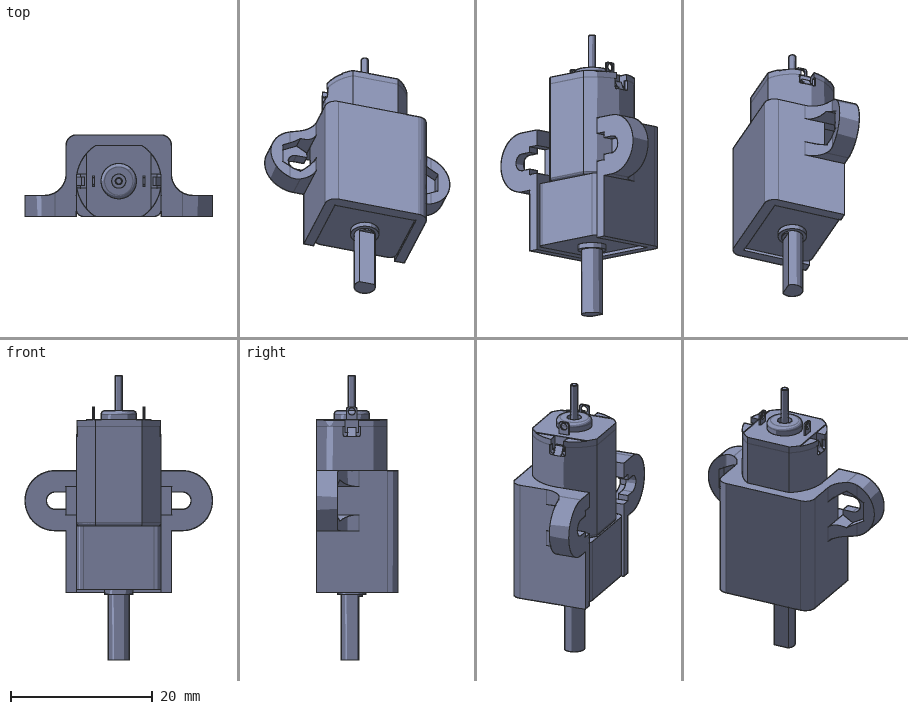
import cadquery as cq
import math


bracket_width = 14.9
bracket_height = 17.25
bracket_back = 6.55
bracket_corner_radius = 1.5

ear_span = 26.5
ear_radius = 4.25
ear_thickness = 3.0
ear_blend_radius = 3.0
ear_slot_width = 2.4
notch_height = 4.0
nut_across_flats = 5.0
nut_pocket_depth = 1.5

gearbox_bottom = 0.45
gearbox_top = 9.4
gearbox_corner_radius = 1.0
output_bearing_diameter = 4.0
output_bearing_drop = 0.25
output_shaft_diameter = 3.0
output_shaft_flat = 1.0
output_shaft_flat_top = -0.5
output_shaft_bottom = -9.5

motor_diameter = 12.0
motor_depth = 10.0
motor_bottom_fillet = 0.5
can_top = 23.5
cap_top = 24.45
cap_raised_half_width = 4.55
cap_side_step = 0.1
boss_diameter = 5.0
boss_height = 1.25
boss_fillet = 0.5
boss_bore_diameter = 2.0
boss_bore_depth = 0.8
rear_shaft_diameter = 1.0
rear_shaft_chamfer = 0.1
rear_shaft_top = 30.7

terminal_offset = 3.57
terminal_thickness = 0.25
terminal_width = 1.5
terminal_height = 1.8
terminal_corner_radius = 0.35
terminal_hole_diameter = 1.0
terminal_hole_height = 1.15

tab_recess_width = 1.95
tab_recess_bottom = 22.6
tab_slit_bottom = 22.05
tab_slit_outer_width = 2.44
tab_width = 1.2
tab_slit_depth = 0.6
tab_slit_corner_radius = 0.3
tab_top = 23.3
tab_tip_inner = 4.85
tab_tip_thickness = 0.4
tab_bend_depth = 0.1

pocket_half_width = motor_diameter / 2
wall_outer = bracket_width / 2
front = -motor_depth / 2
ear_back = front + ear_thickness
ear_center_x = ear_span / 2 - ear_radius
ear_center_z = bracket_height - ear_radius


def box(x_range, y_range, z_range):
    """Axis-aligned block given by its limits."""
    lows = (x_range[0], y_range[0], z_range[0])
    sizes = (x_range[1] - x_range[0], y_range[1] - y_range[0], z_range[1] - z_range[0])
    return cq.Workplane("XY").box(*sizes, centered=False).translate(lows)


def cylinder(diameter, bottom, top):
    """Upright cylinder on the motor axis."""
    return cq.Workplane("XY").workplane(offset=bottom).circle(diameter / 2).extrude(top - bottom)


def both_sides(shape):
    """The +X shape together with its mirror image."""
    return shape.union(shape.mirror("YZ"))


def motor_prism(bottom, top):
    """Round motor section flattened at front and back."""
    half_depth = motor_depth / 2
    slab = box((-motor_diameter, motor_diameter), (-half_depth, half_depth), (bottom, top))
    return cylinder(motor_diameter, bottom, top).intersect(slab)


def along_y(center_x, center_z, y_start):
    """Workplane whose extrusions run toward +Y from y_start, with local y along -Z."""
    plane = cq.Plane(origin=(center_x, y_start, center_z), xDir=(1, 0, 0), normal=(0, 1, 0))
    return cq.Workplane(plane)


def make_bracket():
    """U-shaped bracket, open at the front and hugging the back of the motor."""
    inside = (-pocket_half_width, pocket_half_width)
    body = box((-wall_outer, wall_outer), (front, bracket_back), (0, bracket_height))
    body = body.edges("|Z and >Y").fillet(bracket_corner_radius)
    gearbox_room = box(inside, (front, motor_depth / 2), (0, gearbox_top))
    front_opening = box(inside, (front, 0), (gearbox_top, bracket_height))
    motor_room = motor_prism(gearbox_top, bracket_height)
    return body.cut(gearbox_room).cut(front_opening).cut(motor_room)


def make_ear():
    """Rounded +X ear, blended into the side wall by a concave arc."""
    blend_end_x = wall_outer + ear_blend_radius
    blend_top_y = ear_back + ear_blend_radius
    arc_offset = ear_blend_radius * (1 - math.sqrt(0.5))
    section = (
        cq.Workplane("XY")
        .workplane(offset=ear_center_z - ear_radius)
        .moveTo(wall_outer, front)
        .lineTo(ear_span / 2, front)
        .lineTo(ear_span / 2, ear_back)
        .lineTo(blend_end_x, ear_back)
        .threePointArc((wall_outer + arc_offset, ear_back + arc_offset), (wall_outer, blend_top_y))
        .close()
        .extrude(2 * ear_radius)
    )
    depth = blend_top_y - front
    straight = box(
        (wall_outer, ear_center_x),
        (front, blend_top_y),
        (ear_center_z - ear_radius, ear_center_z + ear_radius),
    )
    rounded = along_y(ear_center_x, ear_center_z, front).circle(ear_radius).extrude(depth)
    return section.intersect(straight.union(rounded))


def make_ear_openings():
    """Screw slot, notch beside the pocket and nut clearance of the +X ear."""
    slot_half = ear_slot_width / 2
    slot = box(
        (pocket_half_width, ear_center_x),
        (front, ear_back),
        (ear_center_z - slot_half, ear_center_z + slot_half),
    )
    slot_end = along_y(ear_center_x, ear_center_z, front).circle(slot_half).extrude(ear_thickness)
    notch = box(
        (pocket_half_width, wall_outer),
        (front, ear_back),
        (ear_center_z - notch_height / 2, ear_center_z + notch_height / 2),
    )
    nut_floor = ear_back - nut_pocket_depth
    nut_corner_diameter = nut_across_flats / math.cos(math.pi / 6)
    nut = (
        along_y(ear_center_x, ear_center_z, nut_floor)
        .transformed(rotate=(0, 0, 90))
        .polygon(6, nut_corner_diameter)
        .extrude(nut_pocket_depth + ear_blend_radius)
    )
    outside_wall = box((wall_outer, ear_span), (nut_floor, bracket_back), (0, bracket_height))
    return slot.union(slot_end).union(notch).union(nut.intersect(outside_wall))


def make_gearbox():
    """Gearbox block with its output bearing and D-shaped output shaft."""
    half_depth = motor_depth / 2
    block = box(
        (-pocket_half_width, pocket_half_width),
        (-half_depth, half_depth),
        (gearbox_bottom, gearbox_top),
    )
    block = block.edges("|Z and <Y").fillet(gearbox_corner_radius)
    bearing = cylinder(output_bearing_diameter, -output_bearing_drop, gearbox_bottom)
    shaft = cylinder(output_shaft_diameter, output_shaft_bottom, gearbox_bottom)
    shaft_radius = output_shaft_diameter / 2
    beyond_flat = box(
        (-shaft_radius, shaft_radius),
        (output_shaft_flat, output_shaft_diameter),
        (output_shaft_bottom, output_shaft_flat_top),
    )
    return block.union(bearing).union(shaft.cut(beyond_flat))


def make_tab_opening():
    """Recess in the +X side of the cap and the slits left beside the crimped tab."""
    surface = motor_diameter / 2
    half_recess = tab_recess_width / 2
    half_opening = tab_slit_outer_width / 2
    half_tab = tab_width / 2
    x_range = (surface - tab_slit_depth, surface)
    z_range = (tab_slit_bottom, can_top)
    opening = box(
        (cap_raised_half_width, surface), (-half_recess, half_recess), (tab_recess_bottom, cap_top)
    )
    opening = opening.union(box(x_range, (-half_tab, half_tab), z_range))
    for y_range in ((-half_opening, -half_tab), (half_tab, half_opening)):
        slit = box(x_range, y_range, z_range).edges("|X and <Z").fillet(tab_slit_corner_radius)
        opening = opening.union(slit)
    return opening


def make_tab():
    """Tab on the +X side, bent inward over the cap as it rises."""
    surface = motor_diameter / 2
    tip_outer = tab_tip_inner + tab_tip_thickness
    middle = ((surface + tip_outer) / 2 - tab_bend_depth, (tab_slit_bottom + tab_top) / 2)
    return (
        cq.Workplane("XZ")
        .moveTo(tab_tip_inner, tab_slit_bottom)
        .lineTo(surface, tab_slit_bottom)
        .threePointArc(middle, (tip_outer, tab_top))
        .lineTo(tab_tip_inner, tab_top)
        .close()
        .extrude(tab_width / 2, both=True)
    )


def make_terminal():
    """Flat solder terminal with an eyelet on the +X side."""
    plate = box(
        (terminal_offset - terminal_thickness / 2, terminal_offset + terminal_thickness / 2),
        (-terminal_width / 2, terminal_width / 2),
        (cap_top, cap_top + terminal_height),
    )
    plate = plate.edges("|X and >Z").fillet(terminal_corner_radius)
    eyelet = (
        cq.Workplane("YZ")
        .center(0, cap_top + terminal_hole_height)
        .circle(terminal_hole_diameter / 2)
        .extrude(motor_diameter / 2)
    )
    return plate.cut(eyelet)


def make_motor():
    """Motor can, end cap, rear boss, rear shaft, tabs and terminals."""
    can = motor_prism(gearbox_top, can_top).faces("<Z").edges().fillet(motor_bottom_fillet)
    cap = motor_prism(can_top, cap_top)
    lowered_side = box(
        (cap_raised_half_width, motor_diameter),
        (front, -front),
        (cap_top - cap_side_step, cap_top),
    )
    housing = can.union(cap, clean=False)
    housing = housing.cut(both_sides(lowered_side), clean=False)
    housing = housing.cut(both_sides(make_tab_opening()), clean=False)
    housing = housing.union(both_sides(make_tab()), clean=False)

    boss_top = cap_top + boss_height
    boss = cylinder(boss_diameter, cap_top, boss_top).faces(">Z").edges().fillet(boss_fillet)
    boss = boss.cut(cylinder(boss_bore_diameter, boss_top - boss_bore_depth, boss_top))
    rear_shaft = cylinder(rear_shaft_diameter, cap_top, rear_shaft_top)
    rear_shaft = rear_shaft.faces(">Z").edges().chamfer(rear_shaft_chamfer)
    for detail in (boss, rear_shaft, both_sides(make_terminal())):
        housing = housing.union(detail, clean=False)
    return housing


bracket = make_bracket().union(both_sides(make_ear()))
bracket = bracket.cut(both_sides(make_ear_openings()))
result = bracket.union(make_gearbox(), clean=False).union(make_motor(), clean=False)